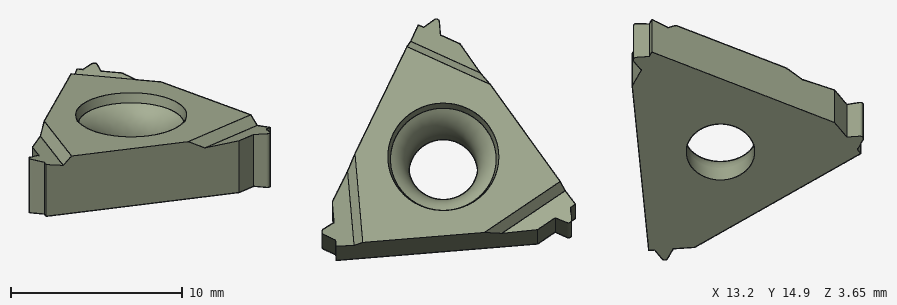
import cadquery as cq
import math


CORNER_COUNT = 3
CORNER_PITCH = 360 / CORNER_COUNT

inscribed_diameter = 9.525
thickness = 3.65
side_distance = inscribed_diameter / 2

shoulder_distance = 6.69
tooth_tip_distance = 7.447
tooth_center_x = 3.865
tooth_half_angle = math.radians(30)
tooth_tip_radius = 0.19

ramp_start_distance = 5.13
groove_bottom_distance = 5.64
groove_depth = 0.53
rake_angle = math.radians(10)

bore_radius = 2.0
mouth_radius = 3.25
seat_rim_radius = 3.09
mouth_depth = 0.57
seat_sweep = math.radians(60)

clearance = 1.0


def around_corners(shape):
    """Return one copy of the shape for each corner."""
    axis_start = (0, 0, 0)
    axis_end = (0, 0, 1)
    return [shape.rotate(axis_start, axis_end, i * CORNER_PITCH) for i in range(CORNER_COUNT)]


def make_triangle():
    """Sharp triangular prism with one side face towards +X."""
    circumscribed_diameter = 2 * side_distance / math.cos(math.pi / CORNER_COUNT)
    return (
        cq.Workplane("XY")
        .transformed(rotate=(0, 0, CORNER_PITCH / 2))
        .polygon(CORNER_COUNT, circumscribed_diameter)
        .extrude(thickness)
    )


def make_corner_cutter():
    """Block that removes the sharp corner outside the shoulder flat."""
    size = 4 * side_distance
    return (
        cq.Workplane("XY")
        .center(0, -shoulder_distance - size / 2)
        .rect(size, size)
        .extrude(thickness)
    )


def make_tooth():
    """Pointed tooth with a rounded tip, standing on the shoulder flat."""
    tip_center_y = -tooth_tip_distance + tooth_tip_radius
    sharp_tip_y = tip_center_y - tooth_tip_radius / math.sin(tooth_half_angle)
    base_half_width = (-shoulder_distance - sharp_tip_y) * math.tan(tooth_half_angle)
    tangent_x = tooth_tip_radius * math.cos(tooth_half_angle)
    tangent_y = tip_center_y - tooth_tip_radius * math.sin(tooth_half_angle)
    return (
        cq.Workplane("XY")
        .moveTo(tooth_center_x - base_half_width, -shoulder_distance)
        .lineTo(tooth_center_x - tangent_x, tangent_y)
        .threePointArc((tooth_center_x, -tooth_tip_distance), (tooth_center_x + tangent_x, tangent_y))
        .lineTo(tooth_center_x + base_half_width, -shoulder_distance)
        .close()
        .extrude(thickness)
    )


def make_chip_breaker():
    """Cutter with a steep ramp down to the groove and a gentle rise to the tooth."""
    end_distance = tooth_tip_distance + clearance
    groove_z = thickness - groove_depth
    end_z = groove_z + (end_distance - groove_bottom_distance) * math.tan(rake_angle)
    top_z = thickness + clearance
    return (
        cq.Workplane("YZ")
        .moveTo(-ramp_start_distance, thickness)
        .lineTo(-groove_bottom_distance, groove_z)
        .lineTo(-end_distance, end_z)
        .lineTo(-end_distance, top_z)
        .lineTo(-ramp_start_distance, top_z)
        .close()
        .extrude(2 * side_distance, both=True)
    )


def make_screw_hole():
    """Through bore that flares through a rounded seat into a tapered mouth."""
    seat_radius = (seat_rim_radius - bore_radius) / (1 - math.cos(seat_sweep))
    seat_rim_z = thickness - mouth_depth
    seat_bottom_z = seat_rim_z - seat_radius * math.sin(seat_sweep)
    seat_mid_r = bore_radius + seat_radius * (1 - math.cos(seat_sweep / 2))
    seat_mid_z = seat_bottom_z + seat_radius * math.sin(seat_sweep / 2)
    return (
        cq.Workplane("XZ")
        .lineTo(bore_radius, 0)
        .lineTo(bore_radius, seat_bottom_z)
        .threePointArc((seat_mid_r, seat_mid_z), (seat_rim_radius, seat_rim_z))
        .lineTo(mouth_radius, thickness)
        .lineTo(0, thickness)
        .close()
        .revolve(360, (0, 0, 0), (0, 1, 0))
    )


result = make_triangle()

for corner_cutter in around_corners(make_corner_cutter()):
    result = result.cut(corner_cutter)

for tooth in around_corners(make_tooth()):
    result = result.union(tooth)

for chip_breaker in around_corners(make_chip_breaker()):
    result = result.cut(chip_breaker)

result = result.cut(make_screw_hole())